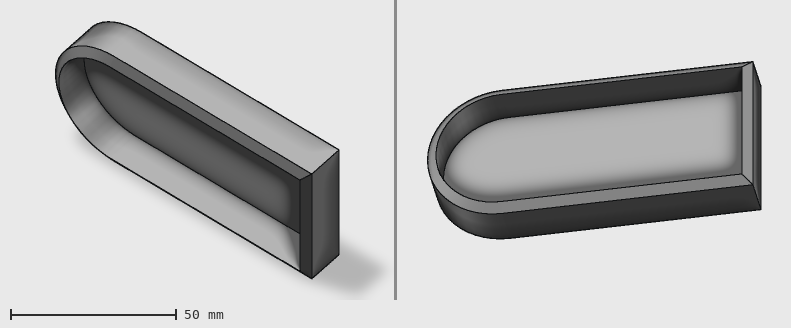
import cadquery as cq
import math

length = 100.0
depth = 15.0
height = 46.0

wall = 3.0
floor_thickness = 3.0
bevel_depth = 2.0

end_radius = height / 2
bevel_angle = math.degrees(math.atan2(wall, bevel_depth))


def tray_outline(back_y, inset):
    """Outline with a round left end and a square right end, shrunk by inset.

    The XZ workplane extrudes toward -Y, the open side of the tray.
    """
    radius = end_radius - inset
    right_x = length - inset
    return (
        cq.Workplane("XZ", origin=(0, back_y, 0))
        .moveTo(end_radius, radius)
        .lineTo(right_x, radius)
        .lineTo(right_x, -radius)
        .lineTo(end_radius, -radius)
        .threePointArc((inset, 0), (end_radius, radius))
        .close()
    )


body = tray_outline(depth, 0).extrude(depth - bevel_depth)

rim = tray_outline(bevel_depth, 0).extrude(bevel_depth, taper=bevel_angle)

pocket = tray_outline(depth - floor_thickness, wall).extrude(depth - floor_thickness)

result = body.union(rim).cut(pocket)